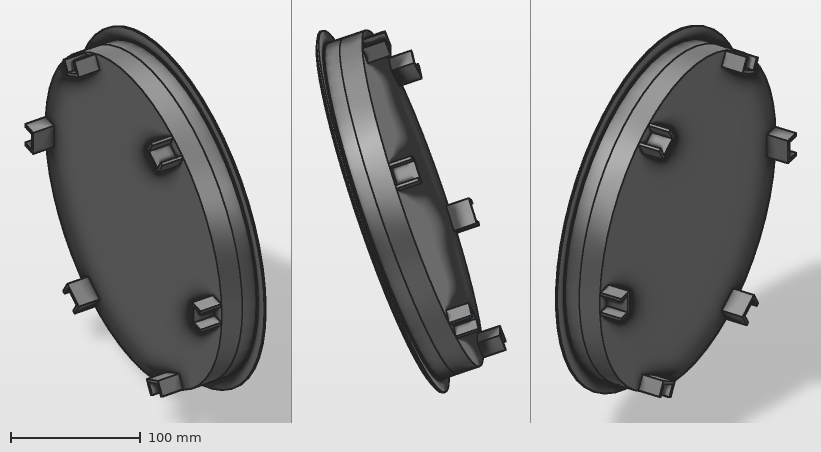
import cadquery as cq

flange_radius = 147.0
drum_radius = 136.7
collar_radius = 137.5

total_depth = 53.8
clip_length = 18.5
base_thickness = 18.2
ring_thickness = 12.3
collar_height = 1.2

bevel_width = 4.5
bevel_height = 2.0

clip_count = 6
clip_inner_radius = 123.0
clip_outer_radius = 135.8
clip_width = 20.5
clip_wall = 2.5

tip_y = -total_depth / 2
base_front = tip_y + clip_length
base_back = base_front + base_thickness
ring_back = base_back + ring_thickness
flange_front = ring_back + collar_height
flange_back = tip_y + total_depth


def disc(radius, front, back):
    """Solid disc about the Y axis between two Y positions."""
    return cq.Workplane("XZ", origin=(0, back, 0)).circle(radius).extrude(back - front)


def clip(angle):
    """U-shaped clip with flat leg ends just inside the drum edge."""
    clip_depth = clip_outer_radius - clip_inner_radius
    clip_centre = (clip_outer_radius + clip_inner_radius) / 2
    face = cq.Workplane("XZ", origin=(0, base_front, 0))
    block = face.center(clip_centre, 0).rect(clip_depth, clip_width).extrude(clip_length)
    slot = (
        face.center(clip_centre + clip_wall, 0)
        .rect(clip_depth, clip_width - 2 * clip_wall)
        .extrude(clip_length)
    )
    return block.cut(slot).rotate((0, 0, 0), (0, 1, 0), angle)


def make_base():
    """Front disc carrying the ring of clips."""
    base = disc(drum_radius, base_front, base_back)
    for index in range(clip_count):
        base = base.union(clip(index * 360 / clip_count))
    return base


def make_spacer():
    """Plain disc between the base and the flange."""
    return disc(drum_radius, base_back, ring_back)


def make_flange():
    """Wide back plate with a bevelled rim and a low collar on its front."""
    plate = disc(flange_radius, flange_front, flange_back)
    plate = plate.faces(">Y").edges().chamfer(bevel_height, bevel_width)
    return plate.union(disc(collar_radius, ring_back, flange_front))


base = make_base()
spacer = make_spacer()
flange = make_flange()

result = cq.Compound.makeCompound([base.val(), spacer.val(), flange.val()])